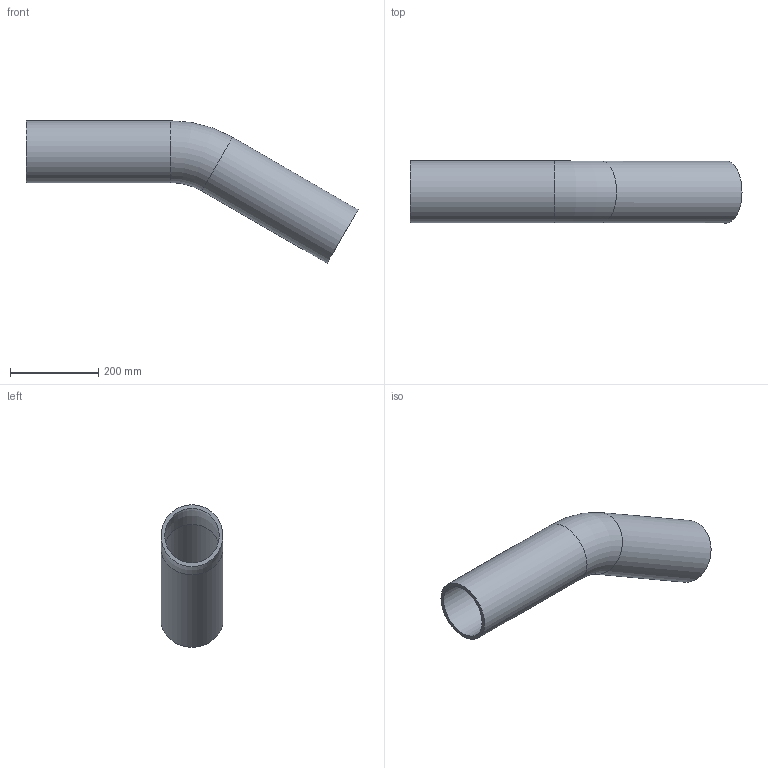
import cadquery as cq
import math

outer_diameter = 140.0
inner_diameter = 123.4

bend_angle = 30.0
bend_radius = 1.5 * outer_diameter
center_to_face = 383.92
leg_length = center_to_face - bend_radius * math.tan(math.radians(bend_angle / 2))


def centerline():
    """Path in the XZ plane: along +X, round the bend, then down the sloped leg."""
    angle = math.radians(bend_angle)

    def point_on_bend(turn):
        x = leg_length + bend_radius * math.sin(turn)
        z = -bend_radius * (1 - math.cos(turn))
        return (x, z)

    bend_end_x, bend_end_z = point_on_bend(angle)
    sloped_end = (
        bend_end_x + leg_length * math.cos(angle),
        bend_end_z - leg_length * math.sin(angle),
    )
    return (
        cq.Workplane("XZ")
        .lineTo(leg_length, 0)
        .threePointArc(point_on_bend(angle / 2), (bend_end_x, bend_end_z))
        .lineTo(*sloped_end)
    )


def bent_pipe():
    """Sweep the annular pipe section along the centerline."""
    section = cq.Workplane("YZ").circle(outer_diameter / 2).circle(inner_diameter / 2)
    return section.sweep(centerline())


result = bent_pipe()